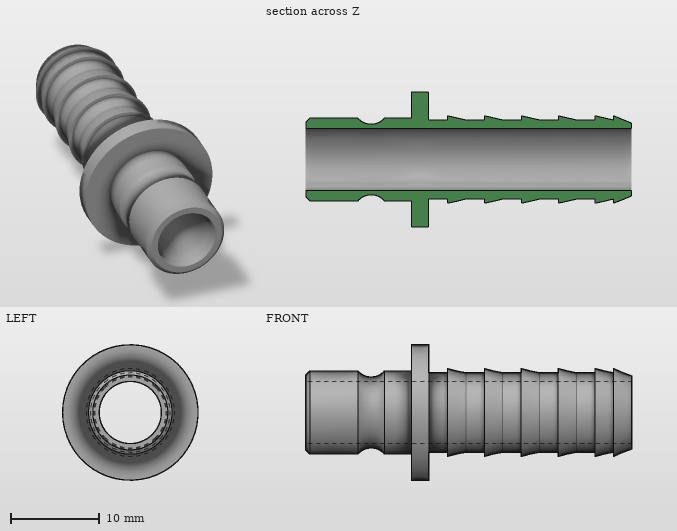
import cadquery as cq

total_length = 37.0
bore_radius = 3.5

plug_radius = 4.75
plug_chamfer = 0.48

groove_center_x = 7.45
groove_floor_radius = 4.05
groove_arc_radius = 2.0

flange_start = 12.0
flange_thickness = 2.0
flange_radius = 7.7

neck_radius = 4.5
barb_radius = 5.0
tip_radius = 4.15
barb_count = 5

flange_end = flange_start + flange_thickness
step_count = 2 * barb_count + 1
step_length = (total_length - flange_end) / step_count


def revolve_about_x(profile):
    """Turn a closed XY profile a full turn about the X axis."""
    return profile.revolve(360, (0, 0, 0), (1, 0, 0))


def cylinder(start, end, radius):
    """Solid cylinder along X between two stations."""
    return cq.Workplane("YZ").workplane(offset=start).circle(radius).extrude(end - start)


def cone(start, end, start_radius, end_radius):
    """Solid truncated cone along X."""
    outline = [(start, 0), (start, start_radius), (end, end_radius), (end, 0)]
    return revolve_about_x(cq.Workplane("XY").polyline(outline).close())


def locking_groove():
    """Round-bottomed ring cut into the plug: a torus around the axis."""
    arc_center_radius = groove_floor_radius + groove_arc_radius
    section = cq.Workplane("XY").center(groove_center_x, arc_center_radius).circle(groove_arc_radius)
    return section.revolve(360, (0, -arc_center_radius, 0), (1, -arc_center_radius, 0))


def plug():
    body = cylinder(0, flange_start, plug_radius)
    body = body.faces("<X").chamfer(plug_chamfer)
    return body.cut(locking_groove())


def hose_tail():
    """Neck with a row of barbs, each sloping down toward the free end."""
    last_barb_end = total_length - step_length
    tail = cylinder(flange_end, last_barb_end, neck_radius)
    for index in range(barb_count):
        barb_start = flange_end + (2 * index + 1) * step_length
        tail = tail.union(cone(barb_start, barb_start + step_length, barb_radius, neck_radius))
    return tail.union(cone(last_barb_end, total_length, barb_radius, tip_radius))


flange = cylinder(flange_start, flange_end, flange_radius)
bore = cylinder(0, total_length, bore_radius)

result = plug().union(flange).union(hose_tail()).cut(bore)